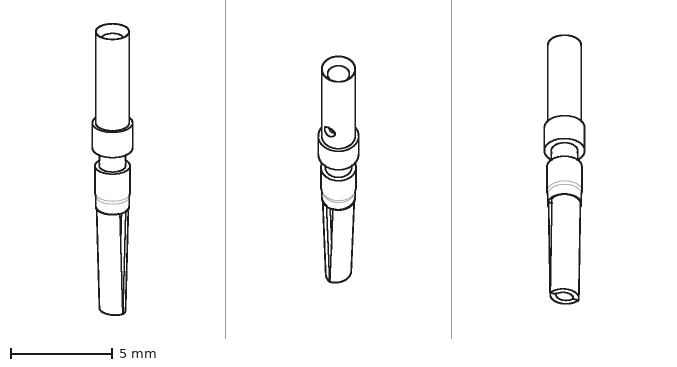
import cadquery as cq
import math

length = 15.5
collar_top = 10.4
collar_bottom = 8.99
shoulder_top = 8.0
shoulder_bottom = 6.5
ring_top = 6.31
ring_bottom = 5.7

barrel_dia = 1.66
collar_dia = 2.0
neck_dia = 1.3
shoulder_dia = 1.74
ring_dia = 1.66
tine_dia = 1.58

wire_bore_dia = 1.08
countersink_dia = 1.63
countersink_depth = 0.39
drill_point_angle = 118.0
wire_bore_floor = collar_top
inspection_dia = 0.62
inspection_height = 11.5

socket_bore_dia = 1.0
root_slot_width = 0.39
tip_slot_width = 0.02


def make_body():
    """Turned stack from the ring at the tine roots up to the wire barrel."""
    profile = [
        (0, ring_bottom),
        (ring_dia / 2, ring_bottom),
        (ring_dia / 2, ring_top),
        (shoulder_dia / 2, shoulder_bottom),
        (shoulder_dia / 2, shoulder_top),
        (neck_dia / 2, shoulder_top),
        (neck_dia / 2, collar_bottom),
        (collar_dia / 2, collar_bottom),
        (collar_dia / 2, collar_top),
        (barrel_dia / 2, collar_top),
        (barrel_dia / 2, length),
        (0, length),
    ]
    return cq.Workplane("XZ").polyline(profile).close().revolve(360, (0, 0), (0, 1))


def make_wire_bore():
    """Countersunk blind bore with a conical drill-point floor."""
    radius = wire_bore_dia / 2
    point_depth = radius / math.tan(math.radians(drill_point_angle / 2))
    profile = [
        (0, wire_bore_floor - point_depth),
        (radius, wire_bore_floor),
        (radius, length - countersink_depth),
        (countersink_dia / 2, length),
        (0, length),
    ]
    return cq.Workplane("XZ").polyline(profile).close().revolve(360, (0, 0), (0, 1))


def make_inspection_hole():
    """Radial hole from the -X side into the wire bore."""
    return (
        cq.Workplane("YZ")
        .center(0, inspection_height)
        .circle(inspection_dia / 2)
        .extrude(-collar_dia / 2)
    )


def draw_tine_section(plane, shift):
    """Half-ring section on the +Y side of the slot, moved by shift in Y."""
    outer = tine_dia / 2
    inner = socket_bore_dia / 2
    slot_side = root_slot_width / 2
    edge = slot_side + shift
    outer_x = math.sqrt(outer**2 - slot_side**2)
    inner_x = math.sqrt(inner**2 - slot_side**2)
    return (
        plane.moveTo(outer_x, edge)
        .threePointArc((0, outer + shift), (-outer_x, edge))
        .lineTo(-inner_x, edge)
        .threePointArc((0, inner + shift), (inner_x, edge))
        .close()
    )


def make_tine():
    """Tine that leans toward the axis from its root to its tip."""
    tip_shift = (tip_slot_width - root_slot_width) / 2
    tip = draw_tine_section(cq.Workplane("XY"), tip_shift)
    root_plane = tip.workplane(offset=ring_bottom)
    return draw_tine_section(root_plane, 0).loft(ruled=True, combine=True)


tine = make_tine()
body = make_body().cut(make_wire_bore()).cut(make_inspection_hole())
result = body.union(tine).union(tine.mirror("XZ"))